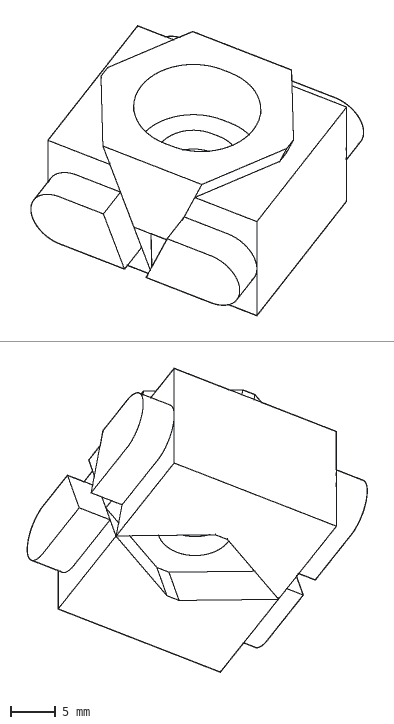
import cadquery as cq
import math

jaw_span = 27.0
jaw_depth = 21.0
jaw_height = 15.0
wedge_bottom = 6.5
wedge_top = 17.5

slope_angle = 20.0
jaw_bottom_gap = 0.04
wedge_tip_span = 24.0
hexagon_angle = 60.0

hole_width = 8.5
counterbore_width = 13.5
hole_travel = 1.0
counterbore_depth = 8.0

lug_length = 4.0
lug_height = 7.5
lug_end_bulge = 4.0
lug_center_z = jaw_height / 2

half_depth = jaw_depth / 2
lug_bottom = lug_center_z - lug_height / 2
lug_top = lug_center_z + lug_height / 2
lug_end_y = half_depth + lug_length


def end_half_width(z):
    """X half-width of the V at height z, on the wedge's front and back faces."""
    return jaw_bottom_gap / 2 + z * math.tan(math.radians(slope_angle))


tip_overhang = wedge_tip_span / 2 - end_half_width(wedge_top)
tip_half_width = half_depth - tip_overhang * math.tan(math.radians(hexagon_angle))


def mirrored_outline(right_side):
    """Close an outline from its +X side, listed from front to back."""
    left_side = [(-x, y) for x, y in reversed(right_side)]
    return right_side + left_side


def hexagon_outline(z):
    """Section at height z: a hexagon with its two X tips blunted."""
    end_x = end_half_width(z)
    tip_x = end_x + tip_overhang
    return mirrored_outline([
        (end_x, -half_depth),
        (tip_x, -tip_half_width),
        (tip_x, tip_half_width),
        (end_x, half_depth),
    ])


def clearance_outline(z):
    """Hexagon section carried straight on past its end faces, between the lugs."""
    end_x = end_half_width(z)
    tip_x = end_x + tip_overhang
    return mirrored_outline([
        (end_x, -lug_end_y),
        (end_x, -half_depth),
        (tip_x, -tip_half_width),
        (tip_x, tip_half_width),
        (end_x, half_depth),
        (end_x, lug_end_y),
    ])


def tapered_prism(outline, bottom, top):
    """Solid with flat sides between an outline's sections at two heights."""
    return (
        cq.Workplane("XY", origin=(0, 0, bottom))
        .polyline(outline(bottom)).close()
        .workplane(offset=top - bottom)
        .polyline(outline(top)).close()
        .loft(ruled=True)
    )


def oblong_cutter(width, bottom, top):
    """Upright cutter whose outline is wider along X by the hole travel."""
    return (
        cq.Workplane("XY", origin=(0, 0, bottom))
        .slot2D(width + hole_travel, width)
        .extrude(top - bottom)
    )


def make_wedge():
    body = tapered_prism(hexagon_outline, wedge_bottom, wedge_top)
    hole = oblong_cutter(hole_width, wedge_bottom, wedge_top)
    counterbore = oblong_cutter(counterbore_width, wedge_top - counterbore_depth, wedge_top)
    return body.cut(hole).cut(counterbore)


def make_jaw(side):
    """Jaw on the +X (side = 1) or -X (side = -1) half."""
    jaw_width = jaw_span / 2
    block = (
        cq.Workplane("XY")
        .center(side * jaw_width / 2, 0)
        .rect(jaw_width, jaw_depth)
        .extrude(jaw_height)
    )
    outer_x = side * jaw_width
    arc_start_x = outer_x - side * lug_end_bulge
    lug_bar = (
        cq.Workplane("XZ", origin=(0, lug_end_y, 0))
        .moveTo(0, lug_bottom)
        .lineTo(arc_start_x, lug_bottom)
        .threePointArc((outer_x, lug_center_z), (arc_start_x, lug_top))
        .lineTo(0, lug_top)
        .close()
        .extrude(2 * lug_end_y)
    )
    wedge_seat = tapered_prism(clearance_outline, 0, wedge_top)
    return block.union(lug_bar).cut(wedge_seat)


wedge = make_wedge()
jaws = [make_jaw(side) for side in (-1, 1)]

result = cq.Compound.makeCompound([wedge.solids().val(), *[jaw.solids().val() for jaw in jaws]])